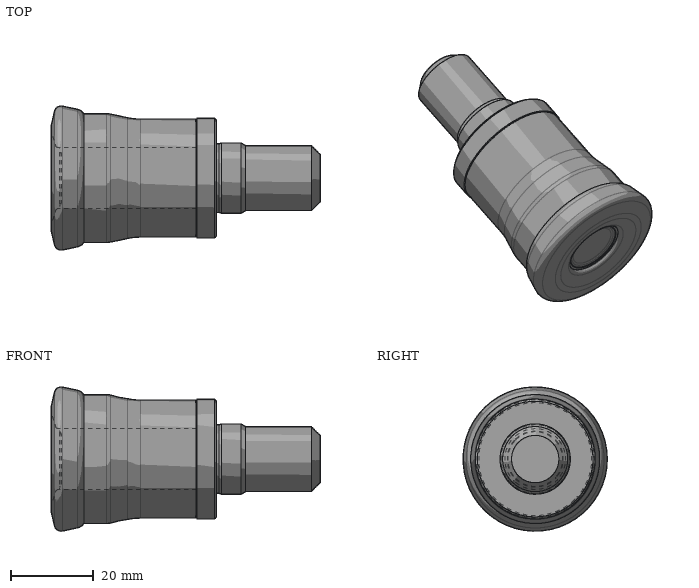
import cadquery as cq
import math


GRIP_RADIUS = 15.6
SLEEVE_RADIUS = 14.3
TAPER = math.radians(12)
FACE_TILT = math.radians(13)
LIP_TOP_RADIUS = 17.45
LIP_ROUND = 1.7
LIP_BACK_X = 6.3
GRIP_START_X = 7.85
GRIP_END_X = 13.3
CONE_START_X = 14.35
CONE_END_X = 18.45
KNOB_END_X = 35.0
FRONT_RING_OUTER_RADIUS = 12.9
FRONT_RING_INNER_RADIUS = 11.25
DISH_INNER_RADIUS = 8.2
DISH_DEPTH = 1.0
BORE_RADIUS = 7.35
BORE_ROUND = DISH_INNER_RADIUS - BORE_RADIUS

STEM_RIM_X = 2.0
STEM_RIM_INNER_RADIUS = 6.75
STEM_RIM_CHAMFER = 0.1
STEM_WALL_END_X = 2.35
STEM_WALL_END_RADIUS = 6.2
STEM_FLOOR_X = 2.55
STEM_FLOOR_RADIUS = 5.65
GAP_FLOOR_RADIUS = 13.65
FLANGE_START_X = 35.15
FLANGE_END_X = 40.0
FLANGE_RADIUS = 14.5
FLANGE_CHAMFER = 0.5
NECK_RADIUS = 8.3
NECK_END_X = 40.55
COLLAR_START_X = 41.15
COLLAR_END_X = 45.9
COLLAR_RADIUS = 8.5
SHAFT_START_X = 47.0
SHAFT_RADIUS = 7.85
TIP_CHAMFER = 2.15
TOTAL_LENGTH = 65.0


def turn(profile):
    """Revolve a closed (X, radius) profile a full turn about the X axis."""
    return profile.close().revolve(360, (0, 0, 0), (1, 0, 0))


def make_knob():
    lip_center_r = LIP_TOP_RADIUS - LIP_ROUND
    face_end_r = lip_center_r + LIP_ROUND * math.sin(FACE_TILT)
    face_end_x = (face_end_r - FRONT_RING_OUTER_RADIUS) * math.tan(FACE_TILT)
    lip_center_x = face_end_x + LIP_ROUND * math.cos(FACE_TILT)
    lip_end_x = lip_center_x + LIP_ROUND * math.sin(TAPER)
    lip_end_r = lip_center_r + LIP_ROUND * math.cos(TAPER)
    lip_back_r = lip_end_r - (LIP_BACK_X - lip_end_x) * math.tan(TAPER)

    half_angle_slope = math.tan(TAPER / 2)
    cone_start_r = GRIP_RADIUS - (CONE_START_X - GRIP_END_X) * half_angle_slope
    cone_end_r = cone_start_r - (CONE_END_X - CONE_START_X) * math.tan(TAPER)
    sleeve_start_x = CONE_END_X + (cone_end_r - SLEEVE_RADIUS) / half_angle_slope

    return turn(
        cq.Workplane("XY")
        .moveTo(0, FRONT_RING_INNER_RADIUS)
        .lineTo(0, FRONT_RING_OUTER_RADIUS)
        .lineTo(face_end_x, face_end_r)
        .threePointArc((lip_center_x, LIP_TOP_RADIUS), (lip_end_x, lip_end_r))
        .lineTo(LIP_BACK_X, lip_back_r)
        .tangentArcPoint((GRIP_START_X, GRIP_RADIUS), relative=False)
        .lineTo(GRIP_END_X, GRIP_RADIUS)
        .tangentArcPoint((CONE_START_X, cone_start_r), relative=False)
        .lineTo(CONE_END_X, cone_end_r)
        .tangentArcPoint((sleeve_start_x, SLEEVE_RADIUS), relative=False)
        .lineTo(KNOB_END_X, SLEEVE_RADIUS)
        .lineTo(KNOB_END_X, BORE_RADIUS)
        .lineTo(DISH_DEPTH + BORE_ROUND, BORE_RADIUS)
        .radiusArc((DISH_DEPTH, DISH_INNER_RADIUS), BORE_ROUND)
    )


def make_plunger():
    """Dished stem filling the knob bore, flange behind the knob, and stepped shaft."""
    return turn(
        cq.Workplane("XY")
        .moveTo(STEM_FLOOR_X, 0)
        .lineTo(STEM_FLOOR_X, STEM_FLOOR_RADIUS)
        .tangentArcPoint((STEM_WALL_END_X, STEM_WALL_END_RADIUS), relative=False)
        .lineTo(STEM_RIM_X + STEM_RIM_CHAMFER, STEM_RIM_INNER_RADIUS - STEM_RIM_CHAMFER)
        .lineTo(STEM_RIM_X, STEM_RIM_INNER_RADIUS)
        .lineTo(STEM_RIM_X, BORE_RADIUS)
        .lineTo(KNOB_END_X, BORE_RADIUS)
        .lineTo(KNOB_END_X, GAP_FLOOR_RADIUS)
        .lineTo(FLANGE_START_X, GAP_FLOOR_RADIUS)
        .lineTo(FLANGE_START_X, FLANGE_RADIUS)
        .lineTo(FLANGE_END_X - FLANGE_CHAMFER, FLANGE_RADIUS)
        .lineTo(FLANGE_END_X, FLANGE_RADIUS - FLANGE_CHAMFER)
        .lineTo(FLANGE_END_X, NECK_RADIUS)
        .lineTo(NECK_END_X, NECK_RADIUS)
        .lineTo(COLLAR_START_X, COLLAR_RADIUS)
        .lineTo(COLLAR_END_X, COLLAR_RADIUS)
        .lineTo(SHAFT_START_X, SHAFT_RADIUS)
        .lineTo(TOTAL_LENGTH - TIP_CHAMFER, SHAFT_RADIUS)
        .lineTo(TOTAL_LENGTH, SHAFT_RADIUS - TIP_CHAMFER)
        .lineTo(TOTAL_LENGTH, 0)
    )


knob = make_knob()
plunger = make_plunger()
result = cq.Compound.makeCompound([knob.val(), plunger.val()])